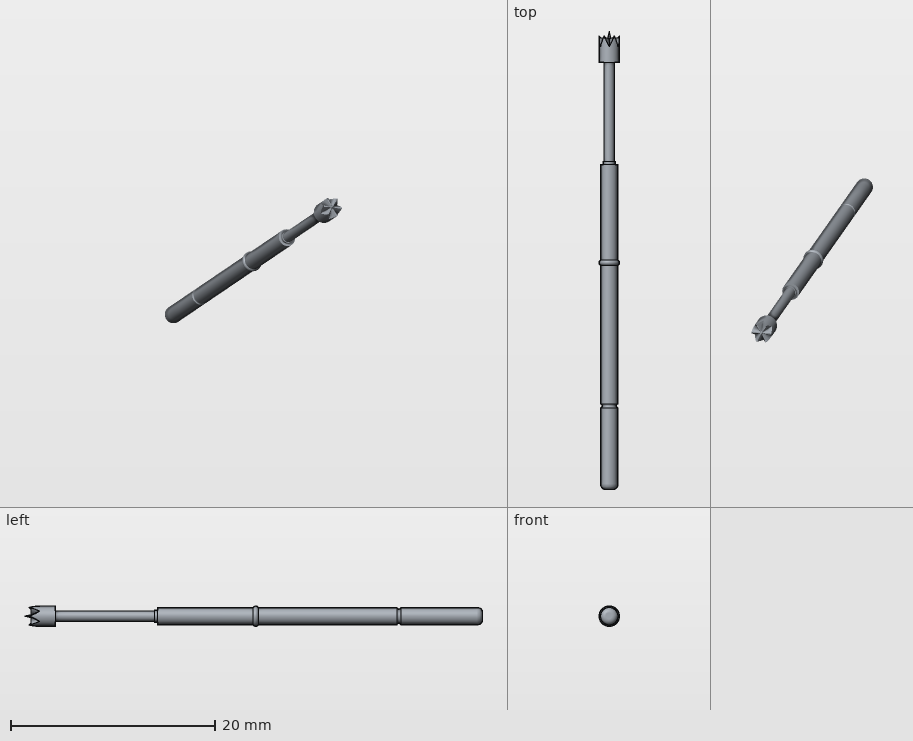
import cadquery as cq
import math


total_length = 44.8
head_length = 3.0
barrel_top = 31.8
neck_length = 0.3
collar_top = 22.45
collar_width = 0.5
groove_top = 8.4
groove_width = 0.4
tail_rounding = 0.5

head_radius = 1.0
plunger_radius = 0.52
neck_radius = 0.6
barrel_radius = 0.85
collar_radius = 1.0
groove_radius = 0.7

tooth_count = 6
tooth_drop = 0.41
floor_depth = 0.6
valley_depth = 1.45
spike_base_radius = 0.15
floor_radius = 0.85

head_base = total_length - head_length
neck_top = barrel_top + neck_length
crown_floor = total_length - floor_depth


def make_barrel():
    """Tail, groove, press-fit collar and neck, revolved about Y."""
    collar_bottom = collar_top - collar_width
    groove_bottom = groove_top - groove_width
    tail_flat_radius = barrel_radius - tail_rounding
    rounding_reach = tail_rounding * math.sin(math.pi / 4)
    rounding_mid = (tail_flat_radius + rounding_reach, tail_rounding - rounding_reach)
    return (
        cq.Workplane("XY")
        .lineTo(tail_flat_radius, 0)
        .threePointArc(rounding_mid, (barrel_radius, tail_rounding))
        .lineTo(barrel_radius, groove_bottom)
        .threePointArc((groove_radius, groove_top - groove_width / 2), (barrel_radius, groove_top))
        .lineTo(barrel_radius, collar_bottom)
        .threePointArc((collar_radius, collar_top - collar_width / 2), (barrel_radius, collar_top))
        .lineTo(barrel_radius, barrel_top)
        .lineTo(neck_radius, barrel_top)
        .lineTo(neck_radius, neck_top)
        .lineTo(0, neck_top)
        .close()
        .revolve(360, (0, 0), (0, 1))
    )


def make_plunger():
    """Plunger rod and head blank with a flat floor inside a beveled rim."""
    return (
        cq.Workplane("XY")
        .moveTo(0, barrel_top)
        .lineTo(plunger_radius, barrel_top)
        .lineTo(plunger_radius, head_base)
        .lineTo(head_radius, head_base)
        .lineTo(head_radius, total_length - tooth_drop)
        .lineTo(floor_radius, crown_floor)
        .lineTo(0, crown_floor)
        .close()
        .revolve(360, (0, 0), (0, 1))
    )


def make_valley_cutter():
    """V cutter toward +Z whose root climbs from the head's side to the crown floor on the axis.

    Its flanks are sloped so that neighboring valleys meet in a point at each tooth tip.
    """
    half_pitch = math.radians(180 / tooth_count)
    root_slope = (valley_depth - floor_depth) / head_radius
    root_depth_at_tooth = floor_depth + root_slope * head_radius * math.cos(half_pitch)
    flank_slope = (root_depth_at_tooth - tooth_drop) / (head_radius * math.sin(half_pitch))
    root_tilt = math.atan(root_slope)
    cutter_height = 2 * valley_depth
    half_width = cutter_height / (flank_slope * math.cos(root_tilt))
    return (
        cq.Workplane("XY")
        .polyline([(0, 0), (half_width, cutter_height), (-half_width, cutter_height)])
        .close()
        .extrude(2 * head_radius)
        .rotate((0, 0, 0), (1, 0, 0), math.degrees(root_tilt))
        .translate((0, crown_floor, 0))
    )


def cut_teeth(plunger):
    """Cut the valleys that leave the rim as a ring of pointed teeth."""
    cutter = make_valley_cutter()
    for index in range(tooth_count):
        angle = index * 360 / tooth_count
        plunger = plunger.cut(cutter.rotate((0, 0, 0), (0, 1, 0), angle))
    return plunger


def make_spike():
    """Conical center spike, carried down below the floor so that it stands rooted in the head."""
    root_radius = spike_base_radius * valley_depth / floor_depth
    return (
        cq.Workplane("XY")
        .moveTo(0, total_length - valley_depth)
        .lineTo(root_radius, total_length - valley_depth)
        .lineTo(0, total_length)
        .close()
        .revolve(360, (0, 0), (0, 1))
    )


crown_plunger = cut_teeth(make_plunger()).union(make_spike())
result = make_barrel().union(crown_plunger)